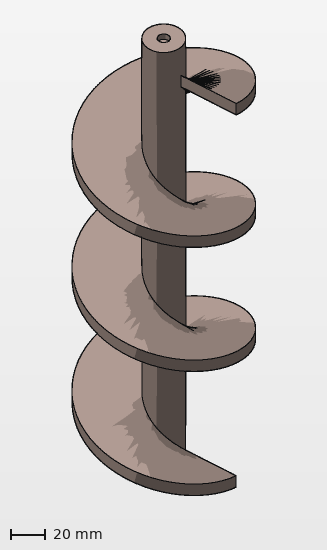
import cadquery as cq

shaft_length = 315.0
shaft_diameter = 25.5
hole_diameter = 7.5
hole_depth = 4.0

flight_diameter = 106.5
flight_pitch = 94.8
flight_turns = 3
flight_thickness = 8.8
root_overlap = 2.5


def make_flight():
    """Rectangular blade section swept along a left-handed helix."""
    inner_radius = shaft_diameter / 2 - root_overlap
    outer_radius = flight_diameter / 2
    path = cq.Wire.makeHelix(
        flight_pitch, flight_turns * flight_pitch, outer_radius, lefthand=True
    )
    section = (
        cq.Workplane("XZ")
        .moveTo(inner_radius, 0)
        .lineTo(outer_radius, 0)
        .lineTo(outer_radius, flight_thickness)
        .lineTo(inner_radius, flight_thickness)
        .close()
    )
    return section.sweep(cq.Workplane(obj=path), isFrenet=True)


shaft = cq.Workplane("XY").circle(shaft_diameter / 2).extrude(shaft_length)

hole = (
    cq.Workplane("XY")
    .workplane(offset=shaft_length - hole_depth)
    .circle(hole_diameter / 2)
    .extrude(hole_depth)
)

result = shaft.union(make_flight()).cut(hole)